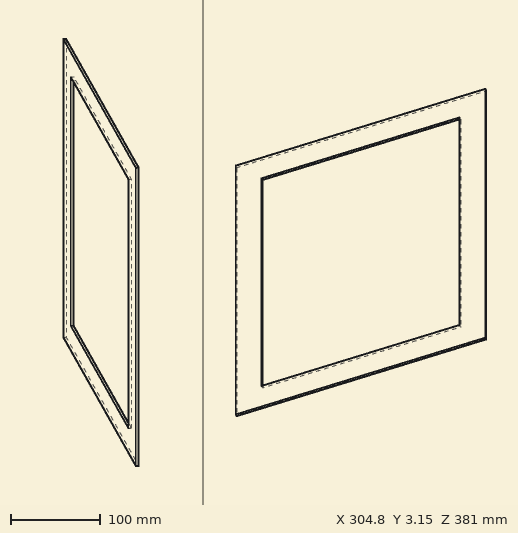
import cadquery as cq

width = 304.8
height = 381.0
thickness = 3.15

border = 31.5
window_width = width - 2 * border
window_height = height - 2 * border

plate = cq.Workplane("XY").box(width, thickness, height)
window = cq.Workplane("XY").box(window_width, thickness, window_height)

result = plate.cut(window)